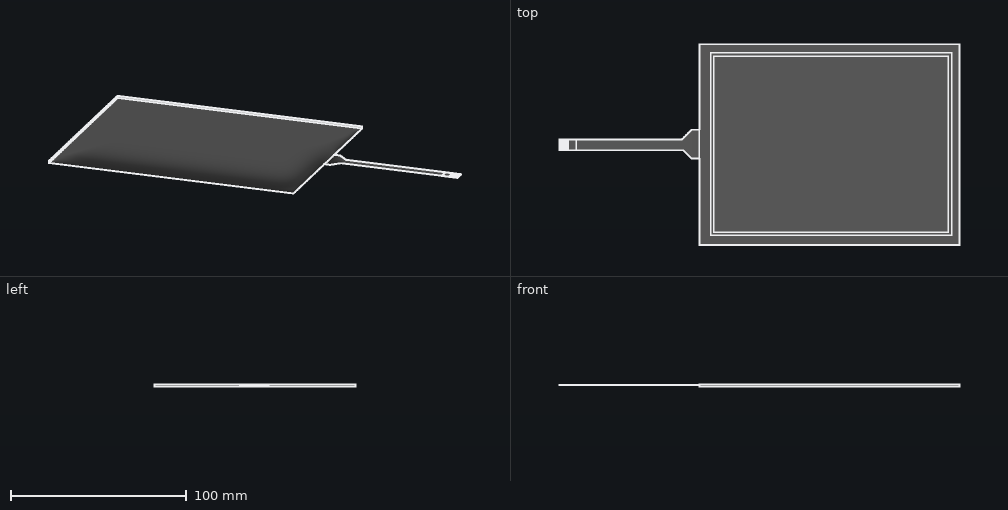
import cadquery as cq

TOTAL_LENGTH = 227.3
PANEL_LENGTH = 147.8
PANEL_WIDTH = 114.3
PANEL_THICKNESS = 1.4

CHANNEL_MARGIN_LEFT = 6.4
CHANNEL_MARGIN_RIGHT = 4.5
CHANNEL_MARGIN_TOP = 5.0
CHANNEL_MARGIN_BOTTOM = 5.6
CHANNEL_WIDTH = 1.8
CHANNEL_DEPTH = 0.05

TAIL_LENGTH = TOTAL_LENGTH - PANEL_LENGTH
TAIL_THICKNESS = 0.2
TAIL_BOTTOM = 0.9
TAIL_EMBED = 3.0
STRIP_WIDTH = 6.2
STRIP_CENTER_Y = -0.1
ROOT_WIDTH = 16.5
ROOT_CENTER_Y = 0.3
ROOT_LENGTH = 4.4

BARE_LENGTH = 5.0
COVER_THICKNESS = 0.05
CONTACT_OFFSET_Y = 0.2
CONTACT_CENTER_Y = STRIP_CENTER_Y + CONTACT_OFFSET_Y
CONTACT_COUNT = 5
CONTACT_PITCH = 1.0
CONTACT_WIDTH = 0.6
CONTACT_HEIGHT = 0.03
STIFFENER_LENGTH = 9.5
STIFFENER_THICKNESS = 0.1

PANEL_LEFT = -PANEL_LENGTH / 2
TAIL_TIP = PANEL_LEFT - TAIL_LENGTH
TAIL_TOP = TAIL_BOTTOM + TAIL_THICKNESS
BARE_TOP = TAIL_TOP - COVER_THICKNESS


def slab(length, width, center, bottom, height):
    """Rectangular slab centred on an (x, y) point."""
    block = cq.Workplane("XY").box(length, width, height, centered=(True, True, False))
    return block.translate((center[0], center[1], bottom))


def tip_strip(length, width, center_y, bottom, height):
    """Rectangular strip running from the tail tip towards the panel."""
    block = cq.Workplane("XY").box(length, width, height, centered=(False, True, False))
    return block.translate((TAIL_TIP, center_y, bottom))


def make_panel():
    panel = slab(PANEL_LENGTH, PANEL_WIDTH, (0, 0), 0, PANEL_THICKNESS)
    outer_length = PANEL_LENGTH - CHANNEL_MARGIN_LEFT - CHANNEL_MARGIN_RIGHT
    outer_width = PANEL_WIDTH - CHANNEL_MARGIN_TOP - CHANNEL_MARGIN_BOTTOM
    inner_length = outer_length - 2 * CHANNEL_WIDTH
    inner_width = outer_width - 2 * CHANNEL_WIDTH
    center = (
        (CHANNEL_MARGIN_LEFT - CHANNEL_MARGIN_RIGHT) / 2,
        (CHANNEL_MARGIN_BOTTOM - CHANNEL_MARGIN_TOP) / 2,
    )
    floor = PANEL_THICKNESS - CHANNEL_DEPTH
    channel = slab(outer_length, outer_width, center, floor, CHANNEL_DEPTH)
    island = slab(inner_length, inner_width, center, floor, CHANNEL_DEPTH)
    return panel.cut(channel.cut(island))


def tail_edge(side):
    """Tail outline from tip to panel along the +Y (side = 1) or -Y (side = -1) edge."""
    strip_y = STRIP_CENTER_Y + side * STRIP_WIDTH / 2
    root_y = ROOT_CENTER_Y + side * ROOT_WIDTH / 2
    root_start = PANEL_LEFT - ROOT_LENGTH
    taper_start = root_start - abs(root_y - strip_y)
    return [
        (TAIL_TIP, strip_y),
        (taper_start, strip_y),
        (root_start, root_y),
        (PANEL_LEFT + TAIL_EMBED, root_y),
    ]


def make_tail():
    outline = tail_edge(1) + tail_edge(-1)[::-1]
    profile = cq.Workplane("XY").workplane(offset=TAIL_BOTTOM).polyline(outline).close()
    missing_cover = tip_strip(BARE_LENGTH, STRIP_WIDTH, STRIP_CENTER_Y, BARE_TOP, COVER_THICKNESS)
    return profile.extrude(TAIL_THICKNESS).cut(missing_cover)


def make_stiffener():
    bottom = TAIL_BOTTOM - STIFFENER_THICKNESS
    return tip_strip(STIFFENER_LENGTH, STRIP_WIDTH, STRIP_CENTER_Y, bottom, STIFFENER_THICKNESS)


def make_contact(index):
    center_y = CONTACT_CENTER_Y + (index - (CONTACT_COUNT - 1) / 2) * CONTACT_PITCH
    return tip_strip(BARE_LENGTH, CONTACT_WIDTH, center_y, BARE_TOP, CONTACT_HEIGHT)


result = make_panel().union(make_tail()).union(make_stiffener())
for contact_index in range(CONTACT_COUNT):
    result = result.union(make_contact(contact_index))